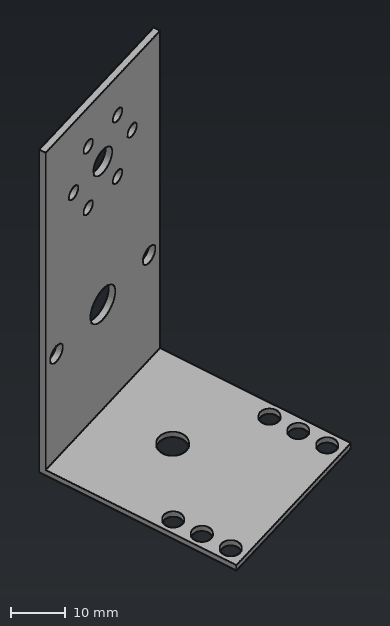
import cadquery as cq

base_length = 43.6
width = 37.0
height = 86.0
thickness = 1.5

ring_center_z = 67.4
ring_bore_diameter = 6.0
ring_radius = 9.5
ring_hole_diameter = 3.0
ring_hole_count = 6

bore_z = 29.3
bore_diameter = 8.0
side_hole_offset = 15.0
mounting_hole_diameter = 4.0

base_hole_x = 16.85
base_hole_diameter = 6.0
row_center_x = 34.0
row_pitch = 6.4
row_hole_count = 3
row_offset_y = 15.6


def upright_plane(z):
    """Workplane on the outer upright face: local X is +Y, local Y is +Z."""
    return cq.Workplane("YZ", origin=(0, 0, z))


base = cq.Workplane("XY").box(base_length, width, thickness, centered=(False, True, False))
upright = cq.Workplane("XY").box(thickness, width, height, centered=(False, True, False))
bracket = base.union(upright)

ring_bore = upright_plane(ring_center_z).circle(ring_bore_diameter / 2).extrude(thickness)
ring_holes = (
    upright_plane(ring_center_z)
    .polarArray(ring_radius, 0, 360, ring_hole_count)
    .circle(ring_hole_diameter / 2)
    .extrude(thickness)
)
main_bore = upright_plane(bore_z).circle(bore_diameter / 2).extrude(thickness)
side_holes = (
    upright_plane(bore_z)
    .pushPoints([(-side_hole_offset, 0), (side_hole_offset, 0)])
    .circle(mounting_hole_diameter / 2)
    .extrude(thickness)
)

base_hole = (
    cq.Workplane("XY").center(base_hole_x, 0).circle(base_hole_diameter / 2).extrude(thickness)
)
edge_holes = (
    cq.Workplane("XY")
    .center(row_center_x, 0)
    .rarray(row_pitch, 2 * row_offset_y, row_hole_count, 2)
    .circle(mounting_hole_diameter / 2)
    .extrude(thickness)
)

result = bracket
for hole in (ring_bore, ring_holes, main_bore, side_holes, base_hole, edge_holes):
    result = result.cut(hole)